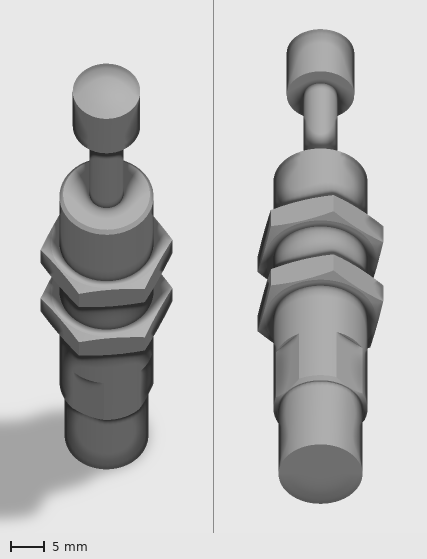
import cadquery as cq
import math

TOTAL_HEIGHT = 89.5
BASE_DIAMETER = 12.4
BASE_TOP = 13.25
BARREL_DIAMETER = 14.0
BARREL_RIM_DIAMETER = 12.9
BARREL_TOP = 61.9
BARREL_CHAMFER = (BARREL_DIAMETER - BARREL_RIM_DIAMETER) / 2

FLATS_WIDTH = 13.0
FLATS_TOP = 23.3
FLAT_COUNT = 4

ROD_DIAMETER = 5.0
CAP_DIAMETER = 10.0
CAP_BOTTOM = 79.6
DOME_HEIGHT = 1.1
DOME_BOTTOM = TOTAL_HEIGHT - DOME_HEIGHT

NUT_ACROSS_FLATS = 17.0
NUT_ACROSS_CORNERS = NUT_ACROSS_FLATS / math.cos(math.pi / 6)
NUT_HEIGHT = 4.5
NUT_FACE_DIAMETER = 16.5
NUT_CORNER_DROP = 0.5
LOWER_NUT_BOTTOM = 32.6
NUT_SPACING = 12.4
NUT_COUNT = 2


def make_turned_body():
    """Revolve the base, barrel, rod and domed cap as one solid."""
    cap_radius = CAP_DIAMETER / 2
    dome_radius = (cap_radius**2 + DOME_HEIGHT**2) / (2 * DOME_HEIGHT)
    mid_radius = cap_radius / 2
    mid_height = TOTAL_HEIGHT - dome_radius + math.sqrt(dome_radius**2 - mid_radius**2)
    return (
        cq.Workplane("XZ")
        .lineTo(BASE_DIAMETER / 2, 0)
        .lineTo(BASE_DIAMETER / 2, BASE_TOP)
        .lineTo(BARREL_RIM_DIAMETER / 2, BASE_TOP)
        .lineTo(BARREL_DIAMETER / 2, BASE_TOP + BARREL_CHAMFER)
        .lineTo(BARREL_DIAMETER / 2, BARREL_TOP - BARREL_CHAMFER)
        .lineTo(BARREL_RIM_DIAMETER / 2, BARREL_TOP)
        .lineTo(ROD_DIAMETER / 2, BARREL_TOP)
        .lineTo(ROD_DIAMETER / 2, CAP_BOTTOM)
        .lineTo(cap_radius, CAP_BOTTOM)
        .lineTo(cap_radius, DOME_BOTTOM)
        .threePointArc((mid_radius, mid_height), (0, TOTAL_HEIGHT))
        .close()
        .revolve(360, (0, 0, 0), (0, 1, 0))
    )


def cut_wrench_flats(body):
    """Cut flats on the four sides of the barrel, open toward the base."""
    flat_height = FLATS_TOP - BASE_TOP
    cutter = (
        cq.Workplane("XY")
        .box(BARREL_DIAMETER, BARREL_DIAMETER, flat_height, centered=(False, True, False))
        .translate((FLATS_WIDTH / 2, 0, BASE_TOP))
    )
    for index in range(FLAT_COUNT):
        angle = index * 360 / FLAT_COUNT
        body = body.cut(cutter.rotate((0, 0, 0), (0, 0, 1), angle))
    return body


def make_nut(bottom):
    """Make a hex nut with flats facing +X and -X and corners chamfered at both ends."""
    corner_radius = NUT_ACROSS_CORNERS / 2
    face_radius = NUT_FACE_DIAMETER / 2
    hexagon = (
        cq.Workplane("XY")
        .polygon(6, NUT_ACROSS_CORNERS)
        .extrude(NUT_HEIGHT)
        .rotate((0, 0, 0), (0, 0, 1), 30)
    )
    chamfer_envelope = (
        cq.Workplane("XZ")
        .lineTo(face_radius, 0)
        .lineTo(corner_radius, NUT_CORNER_DROP)
        .lineTo(corner_radius, NUT_HEIGHT - NUT_CORNER_DROP)
        .lineTo(face_radius, NUT_HEIGHT)
        .lineTo(0, NUT_HEIGHT)
        .close()
        .revolve(360, (0, 0, 0), (0, 1, 0))
    )
    bore = cq.Workplane("XY").circle(BARREL_DIAMETER / 2).extrude(NUT_HEIGHT)
    return hexagon.intersect(chamfer_envelope).cut(bore).translate((0, 0, bottom))


absorber = cut_wrench_flats(make_turned_body())
nuts = [make_nut(LOWER_NUT_BOTTOM + index * NUT_SPACING) for index in range(NUT_COUNT)]

result = cq.Compound.makeCompound([absorber.val(), *[nut.val() for nut in nuts]])